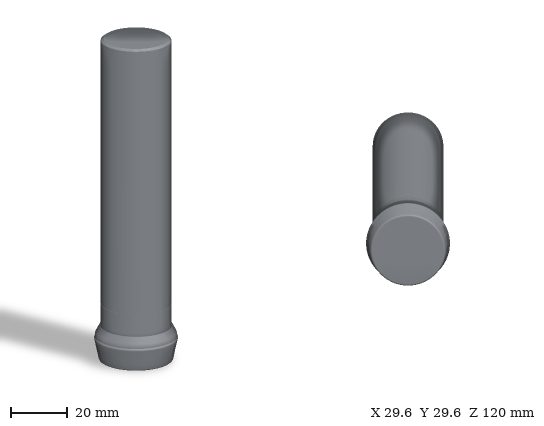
import cadquery as cq
import math

total_length = 120.0
cone_height = 8.8
collar_cone_bottom = 10.5
collar_cone_top = 12.7
neck_top = 21.0

shaft_radius = 25.0 / 2
neck_radius = 25.2 / 2
collar_radius = 29.2 / 2
collar_top_radius = 13.0
shoulder_radius = 14.2
shoulder_bulge = 0.1
chamfer_width = 1.0
chamfer_height = 0.7

cone_radius = 29.6 / 2
cone_half_angle = 12.0
rim_round = 0.7
end_fillet = 0.7


def make_shaft():
    """Long solid rod with a slightly thicker neck and a flared, round-shouldered collar."""
    shoulder_width = collar_radius - shoulder_radius
    shoulder_height = collar_cone_bottom - cone_height
    shoulder_chord = math.hypot(shoulder_width, shoulder_height)
    shoulder_middle = (
        (collar_radius + shoulder_radius) / 2 + shoulder_bulge * shoulder_height / shoulder_chord,
        (collar_cone_bottom + cone_height) / 2 + shoulder_bulge * shoulder_width / shoulder_chord,
    )
    profile = (
        cq.Workplane("XZ")
        .moveTo(0, cone_height)
        .lineTo(collar_radius, cone_height)
        .threePointArc(shoulder_middle, (shoulder_radius, collar_cone_bottom))
        .lineTo(collar_top_radius, collar_cone_top)
        .lineTo(neck_radius, collar_cone_top)
        .lineTo(neck_radius, neck_top)
        .lineTo(shaft_radius, neck_top)
        .lineTo(shaft_radius, total_length - chamfer_height)
        .lineTo(shaft_radius - chamfer_width, total_length)
        .lineTo(0, total_length)
        .close()
    )
    return profile.revolve(360, (0, 0, 0), (0, 1, 0))


def make_sealing_cone():
    """Tapered end piece below the collar, with a rounded rim and a rounded lower edge."""
    taper = math.radians(cone_half_angle)
    rim_center_radius = cone_radius - rim_round
    rim_center_height = cone_height - rim_round

    def rim_point(angle):
        return (
            rim_center_radius + rim_round * math.cos(angle),
            rim_center_height + rim_round * math.sin(angle),
        )

    rim_start = rim_point(-taper)
    end_radius = rim_start[0] - rim_start[1] * math.tan(taper)
    profile = (
        cq.Workplane("XZ")
        .lineTo(end_radius, 0)
        .lineTo(*rim_start)
        .threePointArc(rim_point(math.pi / 4), rim_point(math.pi / 2))
        .lineTo(0, cone_height)
        .close()
    )
    cone = profile.revolve(360, (0, 0, 0), (0, 1, 0))
    return cone.faces("<Z").edges().fillet(end_fillet)


shaft = make_shaft()
sealing_cone = make_sealing_cone()

result = cq.Compound.makeCompound([shaft.val(), sealing_cone.val()])